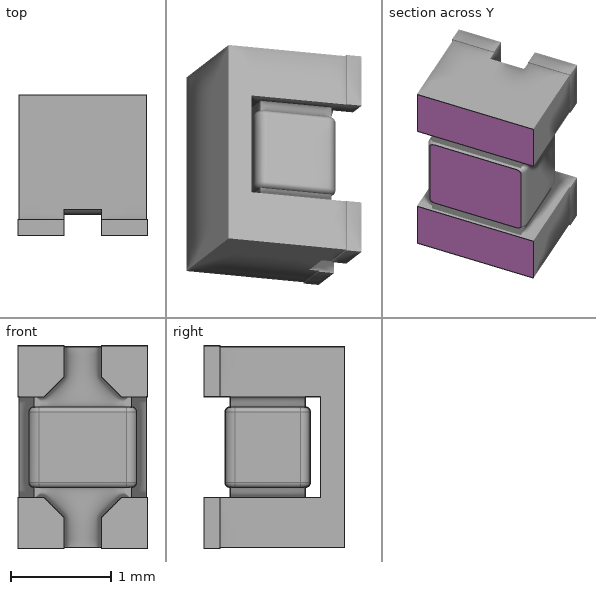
import cadquery as cq


core_width = 1.27
core_height = 2.0
part_depth = 1.4
window_height = 1.0
back_wall = 0.24

pad_thickness = 0.16
pad_overhang = 0.01
pad_gap = 0.37
pad_chamfer = 0.2
foot_depth = 0.26

post_width = 0.97
post_depth = 0.75
coil_height = 0.8
coil_wall = 0.05
coil_corner_radius = 0.1
coil_rim_radius = 0.05

window_depth = part_depth - back_wall - foot_depth
window_center_y = foot_depth + window_depth / 2
post_center_y = foot_depth + post_depth / 2


def box(width, depth, height, center_y):
    """Block centred on X = 0 and Z = 0 with its middle at the given Y."""
    return cq.Workplane("XY").box(width, depth, height).translate((0, center_y, 0))


def foot(side_x, side_z, overhang, front_y, back_y):
    """Corner foot with a chamfered inner corner; the side signs pick the quadrant."""
    inner_x = pad_gap / 2
    outer_x = core_width / 2 + overhang
    inner_z = window_height / 2
    outer_z = core_height / 2 + overhang
    outline = [
        (inner_x, outer_z),
        (outer_x, outer_z),
        (outer_x, inner_z),
        (inner_x + pad_chamfer, inner_z),
        (inner_x, inner_z + pad_chamfer),
    ]
    placed = [(side_x * x, side_z * z) for x, z in outline]
    return (
        cq.Workplane("XZ", origin=(0, front_y, 0))
        .polyline(placed)
        .close()
        .extrude(front_y - back_y)
    )


def make_core():
    """C-shaped core: two flanges joined by the back wall and the winding post."""
    core_depth = part_depth - foot_depth
    core = box(core_width, core_depth, core_height, foot_depth + core_depth / 2)
    window = box(core_width, window_depth, window_height, window_center_y)
    post = box(post_width, post_depth, window_height, post_center_y)
    return core.cut(window).union(post)


def make_coil():
    """Rounded block standing for the winding around the post."""
    coil_width = post_width + 2 * coil_wall
    coil_depth = post_depth + 2 * coil_wall
    coil = box(coil_width, coil_depth, coil_height, post_center_y)
    return coil.edges("|Z").fillet(coil_corner_radius).faces("|Z").edges().fillet(coil_rim_radius)


result = make_core().union(make_coil())
for side_x in (-1, 1):
    for side_z in (-1, 1):
        result = result.union(foot(side_x, side_z, 0, pad_thickness, foot_depth))
        result = result.union(foot(side_x, side_z, pad_overhang, 0, pad_thickness))